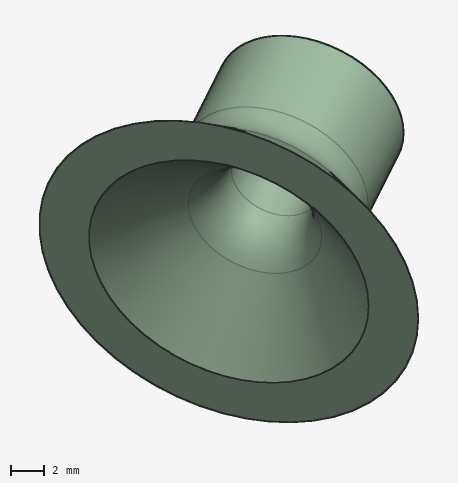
import cadquery as cq
import math

overall_length = 14.6
mouth_diameter = 24.0
neck_diameter = 11.8
bore_diameter = 5.5
blend_radius = 5.0
cone_half_angle = math.radians(45)

mouth_radius = mouth_diameter / 2
neck_radius = neck_diameter / 2
bore_radius = bore_diameter / 2

blend_rise = blend_radius * (1 - math.cos(cone_half_angle))
blend_length = blend_radius * math.sin(cone_half_angle)
cone_length = (mouth_radius - neck_radius - blend_rise) / math.tan(cone_half_angle)


def flared_solid(straight_radius):
    """Solid of revolution about Y: a cylinder blended into a cone widening to Y = 0."""
    cone_top_radius = straight_radius + blend_rise
    cone_base_radius = cone_top_radius + cone_length * math.tan(cone_half_angle)
    blend_end_y = cone_length + blend_length

    mid_angle = cone_half_angle / 2
    blend_mid = (
        straight_radius + blend_radius * (1 - math.cos(mid_angle)),
        blend_end_y - blend_radius * math.sin(mid_angle),
    )

    profile = (
        cq.Workplane("XY")
        .lineTo(cone_base_radius, 0)
        .lineTo(cone_top_radius, cone_length)
        .threePointArc(blend_mid, (straight_radius, blend_end_y))
        .lineTo(straight_radius, overall_length)
        .lineTo(0, overall_length)
        .close()
    )
    return profile.revolve(360, (0, 0, 0), (0, 1, 0))


result = flared_solid(neck_radius).cut(flared_solid(bore_radius))